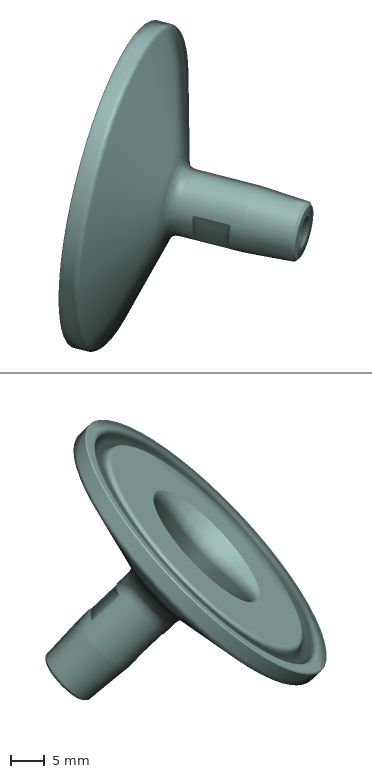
import cadquery as cq
import math

length = 30.0
flange_radius = 25.25

rim_width = 2.85
back_angle = 20.0
rim_fillet = 0.8
face_edge_chamfer = 0.15
neck_fillet = 2.0

stem_radius = 5.15
taper_start = 21.75
tip_radius = 4.65
tip_chamfer = 0.45

flat_start = 14.0
flat_length = 5.95
flat_distance = 4.5

bore_radius = 2.5
inlet_radius = 11.1
inlet_depth = 8.1

groove_center_radius = 21.7
groove_half_mouth = 1.95
groove_lip_radius = 0.8
groove_bottom_radius = 1.2
groove_flank_angle = 25.0


def revolve_about_x(profile):
    return profile.close().revolve(360, (0, 0, 0), (1, 0, 0))


def make_body():
    """Flange, conical back and stem with all outer edge treatments."""
    neck_x = rim_width + (flange_radius - stem_radius) * math.tan(math.radians(back_angle))
    body = revolve_about_x(
        cq.Workplane("XY")
        .lineTo(0, flange_radius - face_edge_chamfer)
        .lineTo(face_edge_chamfer, flange_radius)
        .lineTo(rim_width, flange_radius)
        .lineTo(neck_x, stem_radius)
        .lineTo(taper_start, stem_radius)
        .lineTo(length - tip_chamfer, tip_radius)
        .lineTo(length, tip_radius - tip_chamfer)
        .lineTo(length, 0)
    )

    def corner_edge(x):
        margin = 0.05
        size = 2 * flange_radius
        return cq.selectors.BoxSelector(
            (x - margin, -size, -size), (x + margin, size, size), boundingbox=True
        )

    body = body.edges(corner_edge(rim_width)).fillet(rim_fillet)
    return body.edges(corner_edge(neck_x)).fillet(neck_fillet)


def make_bore():
    """Straight through bore with the conical inlet in the sealing face."""
    return revolve_about_x(
        cq.Workplane("XY")
        .lineTo(0, inlet_radius)
        .lineTo(inlet_depth, bore_radius)
        .lineTo(length, bore_radius)
        .lineTo(length, 0)
    )


def make_groove():
    """Ring cutter: rounded lips, short slanted flanks and an arc bottom."""
    flank = math.radians(groove_flank_angle)
    sine = math.sin(flank)
    cosine = math.cos(flank)

    lip_offset = groove_half_mouth - groove_lip_radius * cosine
    lip_depth = groove_lip_radius * (1 - sine)
    bottom_offset = groove_bottom_radius * cosine
    bottom_start = lip_depth + (lip_offset - bottom_offset) / math.tan(flank)
    bottom_depth = bottom_start + groove_bottom_radius * (1 - sine)

    half_turn = (math.pi / 2 - flank) / 2
    lip_middle_depth = groove_lip_radius * (1 - math.cos(half_turn))
    lip_middle_offset = groove_half_mouth - groove_lip_radius * math.sin(half_turn)

    def point(depth, offset):
        return (depth, groove_center_radius + offset)

    return revolve_about_x(
        cq.Workplane("XY")
        .moveTo(*point(0, groove_half_mouth))
        .threePointArc(point(lip_middle_depth, lip_middle_offset), point(lip_depth, lip_offset))
        .lineTo(*point(bottom_start, bottom_offset))
        .threePointArc(point(bottom_depth, 0), point(bottom_start, -bottom_offset))
        .lineTo(*point(lip_depth, -lip_offset))
        .threePointArc(point(lip_middle_depth, -lip_middle_offset), point(0, -groove_half_mouth))
    )


def make_flat_cutter(side):
    """Block removing the stem beyond one wrench flat; side is +1 or -1 along Y."""
    return cq.Workplane("XY").box(flat_length, stem_radius, 2 * stem_radius).translate(
        (flat_start + flat_length / 2, side * (flat_distance + stem_radius / 2), 0)
    )


result = make_body().cut(make_bore()).cut(make_groove())
for side in (1, -1):
    result = result.cut(make_flat_cutter(side))